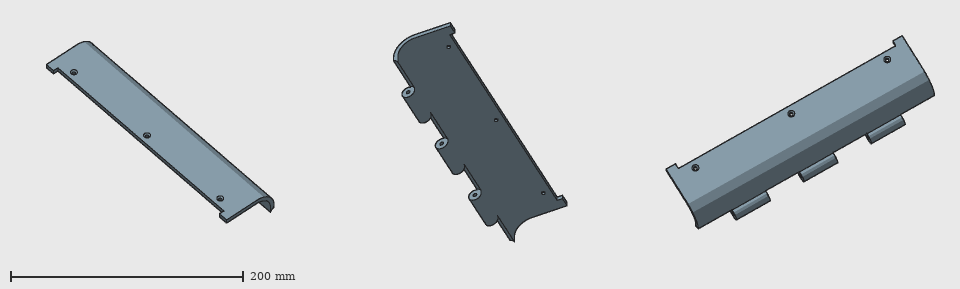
import cadquery as cq
import math

length = 236.5
depth = 62.0
thickness = 4.3
bend_radius = 20.0

knuckle_diameter = 12.0
pin_diameter = 3.3
pin_drop = 29.93
clearance_radius = 6.6
segment_count = 7

tab_width = 9.5
tab_depth = 5.0

screw_diameter = 3.0
countersink_diameter = 6.0
countersink_angle = 90
screw_spacing = 96.0
screw_inset = 12.0

knuckle_radius = knuckle_diameter / 2
pin_y = depth - knuckle_radius
wall_inner_y = pin_y - knuckle_radius
wall_outer_y = wall_inner_y + thickness
bend_y = wall_outer_y - bend_radius
inner_radius = bend_radius - thickness
segment_length = length / segment_count
diagonal = math.sqrt(0.5)


def rod(radius, start_x, rod_length):
    """Cylinder along X, centered on the pin axis."""
    return (
        cq.Workplane("YZ", origin=(start_x, 0, 0))
        .center(pin_y, -pin_drop)
        .circle(radius)
        .extrude(rod_length)
    )


def bent_sheet():
    """Flat plate that bends down into a wall ending level with the pin axis."""
    outer_mid = (bend_y + bend_radius * diagonal, -bend_radius + bend_radius * diagonal)
    inner_mid = (bend_y + inner_radius * diagonal, -bend_radius + inner_radius * diagonal)
    return (
        cq.Workplane("YZ", origin=(-length / 2, 0, 0))
        .moveTo(0, 0)
        .lineTo(bend_y, 0)
        .threePointArc(outer_mid, (wall_outer_y, -bend_radius))
        .lineTo(wall_outer_y, -pin_drop)
        .lineTo(wall_inner_y, -pin_drop)
        .lineTo(wall_inner_y, -bend_radius)
        .threePointArc(inner_mid, (bend_y, -thickness))
        .lineTo(0, -thickness)
        .close()
        .extrude(length)
    )


def front_recess():
    """Material removed between the two front corner tabs."""
    return cq.Workplane("XY").box(
        length - 2 * tab_width, 2 * tab_depth, 2 * thickness
    )


result = bent_sheet().cut(front_recess())
screw_points = [(i * screw_spacing, screw_inset) for i in (-1, 0, 1)]
result = (
    result.copyWorkplane(cq.Workplane("XY"))
    .pushPoints(screw_points)
    .cskHole(screw_diameter, countersink_diameter, countersink_angle, depth=2 * thickness)
)

for segment in range(segment_count):
    segment_start = -length / 2 + segment * segment_length
    if segment % 2 == 0:
        result = result.cut(rod(clearance_radius, segment_start, segment_length))
    else:
        result = result.union(rod(knuckle_radius, segment_start, segment_length))

result = result.cut(rod(pin_diameter / 2, -length / 2, length))